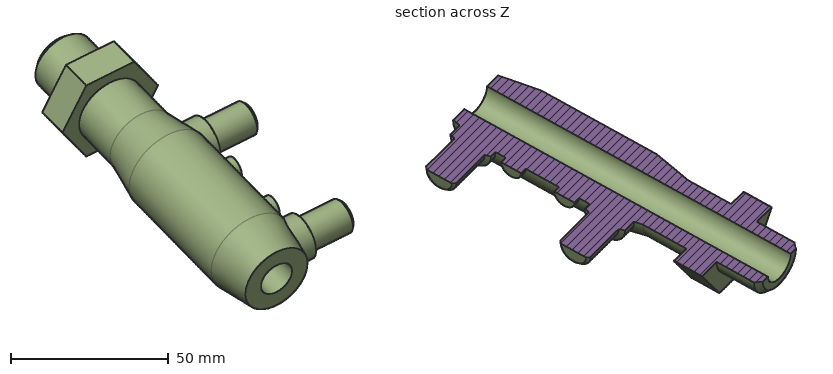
import cadquery as cq
import math

length = 120.0
spigot_dia = 21.6
spigot_chamfer = 2.0
neck_dia = 24.0
barrel_dia = 30.0
bore_dia = 12.0
taper_length = 14.8
neck_end = 45.0
barrel_start = neck_end + taper_length
barrel_end = length - taper_length

hex_across_flats = 32.0
hex_start = 16.8
hex_thickness = 11.2
hex_across_corners = hex_across_flats / math.cos(math.radians(30))

port_positions = (56.0, 109.0)
port_dia = 12.0
port_tip_y = 34.0
port_tip_chamfer = 1.0
collar_dia = 16.0
collar_rim_y = 17.4
collar_top_y = 18.0
boss_offset = 16.0
boss_positions = (port_positions[0] + boss_offset, port_positions[1] - boss_offset)
boss_dia = 8.0
boss_top_y = collar_rim_y


def turned_body():
    """Spigot, neck and barrel with tapered ends, revolved about the X axis."""
    spigot_radius = spigot_dia / 2
    return (
        cq.Workplane("XY")
        .moveTo(0, 0)
        .lineTo(0, spigot_radius - spigot_chamfer)
        .lineTo(spigot_chamfer, spigot_radius)
        .lineTo(hex_start, spigot_radius)
        .lineTo(hex_start, neck_dia / 2)
        .lineTo(neck_end, neck_dia / 2)
        .lineTo(barrel_start, barrel_dia / 2)
        .lineTo(barrel_end, barrel_dia / 2)
        .lineTo(length, neck_dia / 2)
        .lineTo(length, 0)
        .close()
        .revolve(360, (0, 0, 0), (1, 0, 0))
    )


def hex_collar():
    """Hexagon with its corners on +Y and -Y and flats on top and bottom."""
    return (
        cq.Workplane("YZ", origin=(hex_start, 0, 0))
        .polygon(6, hex_across_corners)
        .extrude(hex_thickness)
    )


def side_cylinder(x, diameter, top_y):
    """Cylinder standing on the body axis at x and rising along +Y."""
    return cq.Workplane("XZ", origin=(x, 0, 0)).circle(diameter / 2).extrude(-top_y)


def side_port(x):
    """Chamfered pipe stub on a wider collar whose shoulder slopes up to meet it."""
    stub = side_cylinder(x, port_dia, port_tip_y).faces(">Y").chamfer(port_tip_chamfer)
    collar = (
        cq.Workplane("XY", origin=(x, 0, 0))
        .lineTo(collar_dia / 2, 0)
        .lineTo(collar_dia / 2, collar_rim_y)
        .lineTo(port_dia / 2, collar_top_y)
        .lineTo(0, collar_top_y)
        .close()
        .revolve(360, (0, 0, 0), (0, 1, 0))
    )
    return stub.union(collar)


def through_bore():
    """Plain bore along the whole body axis."""
    return cq.Workplane("YZ").circle(bore_dia / 2).extrude(length)


part = turned_body().union(hex_collar())
for port_x in port_positions:
    part = part.union(side_port(port_x))
for boss_x in boss_positions:
    part = part.union(side_cylinder(boss_x, boss_dia, boss_top_y))

result = part.cut(through_bore())